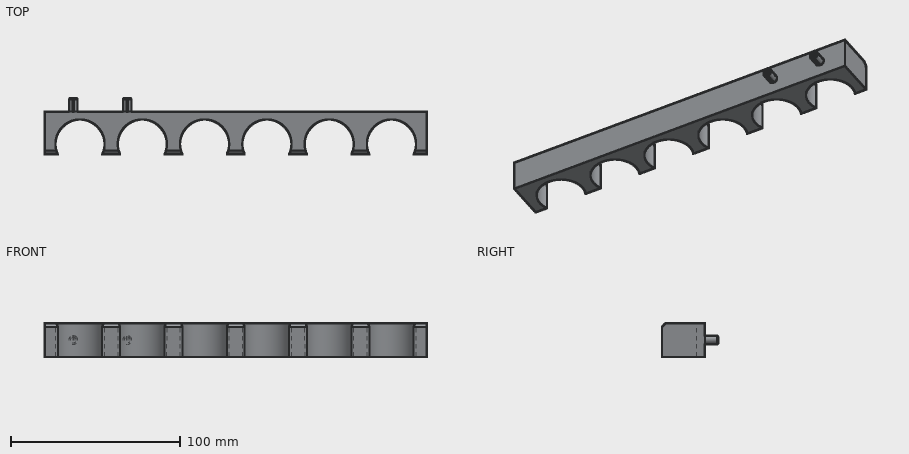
import cadquery as cq

length = 225.5
depth = 25.3
height = 20.0
front_chamfer = 2.3

seat_count = 6
seat_pitch = 36.8
seat_radius = 14.5
first_seat_x = (length - (seat_count - 1) * seat_pitch) / 2
back_wall = 4.7
seat_y = depth - back_wall - seat_radius

pin_positions_x = (17.0, 48.7)
pin_diameter = 5.2
pin_length = 8.1
pin_chamfer = 1.0
pin_slot_width = 0.7
pin_z = height / 2


def make_bar():
    """Plain bar with its top front edge chamfered."""
    bar = cq.Workplane("XY").box(length, depth, height, centered=False)
    return bar.faces("<Y").edges(">Z").chamfer(front_chamfer)


def make_seats():
    """Vertical cylinders that cut the clip seats through the bar."""
    centres = [(first_seat_x + i * seat_pitch, seat_y) for i in range(seat_count)]
    return cq.Workplane("XY").pushPoints(centres).circle(seat_radius).extrude(height)


def make_pin(x):
    """Round pin standing on the back face, with a chamfered tip and split by a vertical slot."""
    back_face = cq.Workplane("XZ", origin=(x, depth, pin_z))
    pin = back_face.circle(pin_diameter / 2).extrude(-pin_length)
    pin = pin.faces(">Y").chamfer(pin_chamfer)
    slot = back_face.rect(pin_slot_width, pin_diameter).extrude(-pin_length)
    return pin.cut(slot)


result = make_bar().cut(make_seats())
for pin_x in pin_positions_x:
    result = result.union(make_pin(pin_x))